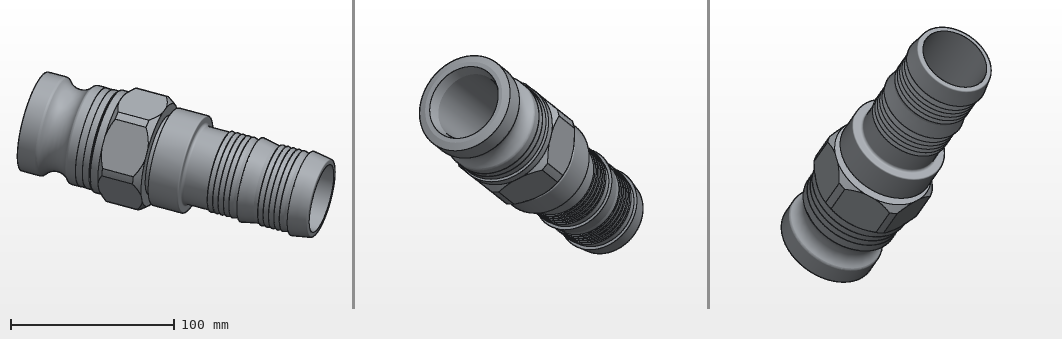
import cadquery as cq
import math

LENGTH = 188.5
BORE_DIA = 43.0
MOUTH_DIA = 47.5
MOUTH_DEPTH = 7.4

ADAPTER_DIA = 63.0
FACE_DIA = 53.5
FACE_BEVEL = 1.1
GROOVE_X = 23.4
GROOVE_BOTTOM_DIA = 52.4
GROOVE_RADIUS = 11.3
GROOVE_EDGE_FILLET = 1.9
BAND_START = 39.2
BAND_END = 43.7
BAND_DIA = 62.5
ADAPTER_END = 48.0

RELIEF_DIA = 59.0
COLLAR_START = 49.4
COLLAR_DIA = 65.2

NUT_START = 54.3
NUT_END = 82.5
NUT_FLATS = 64.8
NUT_CORNER_DIA = 72.0
NUT_FACE_DIA = 65.2
NUT_FRONT_BEVEL = 3.5
NUT_BACK_BEVEL = 4.5
NUT_ANGLE = 15.4

NECK_DIA = 50.5
RING_START = 86.3
RING_END = 106.3
RING_DIA = 62.0
RING_EDGE_FILLET = 1.0
NECK_ROOT_FILLET = 1.0
BARREL_ROOT_FILLET = 1.9
BARREL_DIA = 49.5

GRIP_STARTS = (123.3, 156.3)
TOOTH_COUNT = 5
FIRST_TO_LAST_TOOTH = 14.1
TOOTH_PITCH = FIRST_TO_LAST_TOOTH / (TOOTH_COUNT - 1)
TOOTH_LENGTH = 3.0
TOOTH_DIA = 51.5
BARB_OFFSET = 19.8
BARB_LENGTH = 10.4
BARB_DIA = 53.7
END_FILLET = 1.0


def cone(start, length, start_dia, end_dia):
    """Solid of revolution about X with straight sides."""
    return (
        cq.Workplane("XY")
        .moveTo(start, 0)
        .lineTo(start, start_dia / 2)
        .lineTo(start + length, end_dia / 2)
        .lineTo(start + length, 0)
        .close()
        .revolve(360, (0, 0, 0), (1, 0, 0))
    )


def cylinder(start, end, dia):
    """Round bar along X."""
    return cone(start, end - start, dia, dia)


def ring_edges(x, dia):
    """Selector for the circular edges at x, up to the given diameter."""
    r = dia / 2
    tol = 0.04
    low = (x - tol, -r - tol, -r - tol)
    high = (x + tol, r + tol, r + tol)
    return cq.selectors.BoxSelector(low, high, boundingbox=True)


def make_adapter():
    """Beveled mouth, round cam groove with softened edges, shallow recessed band and relief."""
    adapter_radius = ADAPTER_DIA / 2
    groove_centre = GROOVE_BOTTOM_DIA / 2 + GROOVE_RADIUS
    half_width = math.sqrt(GROOVE_RADIUS**2 - (groove_centre - adapter_radius) ** 2)
    body = (
        cq.Workplane("XY")
        .moveTo(0, 0)
        .lineTo(0, FACE_DIA / 2)
        .lineTo(FACE_BEVEL, adapter_radius)
        .lineTo(GROOVE_X - half_width, adapter_radius)
        .threePointArc((GROOVE_X, GROOVE_BOTTOM_DIA / 2), (GROOVE_X + half_width, adapter_radius))
        .lineTo(BAND_START, adapter_radius)
        .lineTo(BAND_START, BAND_DIA / 2)
        .lineTo(BAND_END, BAND_DIA / 2)
        .lineTo(BAND_END, adapter_radius)
        .lineTo(ADAPTER_END, adapter_radius)
        .lineTo(ADAPTER_END, 0)
        .close()
        .revolve(360, (0, 0, 0), (1, 0, 0))
    )
    for x in (GROOVE_X - half_width, GROOVE_X + half_width):
        body = body.edges(ring_edges(x, ADAPTER_DIA)).fillet(GROOVE_EDGE_FILLET)
    return body.union(cylinder(ADAPTER_END, COLLAR_START, RELIEF_DIA))


def make_nut():
    """Hexagon trimmed by a bar with beveled ends, plus the front collar."""
    hexagon = (
        cq.Workplane("YZ", origin=(NUT_START, 0, 0))
        .polygon(6, NUT_FLATS / math.cos(math.pi / 6))
        .extrude(NUT_END - NUT_START)
        .rotate((0, 0, 0), (1, 0, 0), -NUT_ANGLE)
    )
    front = NUT_START + NUT_FRONT_BEVEL
    back = NUT_END - NUT_BACK_BEVEL
    envelope = (
        cone(NUT_START, NUT_FRONT_BEVEL, NUT_FACE_DIA, NUT_CORNER_DIA)
        .union(cylinder(front, back, NUT_CORNER_DIA))
        .union(cone(back, NUT_BACK_BEVEL, NUT_CORNER_DIA, NUT_FACE_DIA))
    )
    return hexagon.intersect(envelope).union(cylinder(COLLAR_START, NUT_START, COLLAR_DIA))


def make_tail():
    """Neck, filleted stop ring and barrel."""
    tail = (
        cylinder(NUT_END, RING_START, NECK_DIA)
        .union(cylinder(RING_START, RING_END, RING_DIA))
        .union(cylinder(RING_END, GRIP_STARTS[-1] + BARB_OFFSET, BARREL_DIA))
    )
    for x in (RING_START, RING_END):
        tail = tail.edges(ring_edges(x, RING_DIA) - ring_edges(x, NECK_DIA)).fillet(RING_EDGE_FILLET)
    tail = tail.edges(ring_edges(RING_START, NECK_DIA)).fillet(NECK_ROOT_FILLET)
    return tail.edges(ring_edges(RING_END, BARREL_DIA)).fillet(BARREL_ROOT_FILLET)


def make_grips():
    """Two sets of teeth and barbs; the last barb runs out at the hose end."""
    grips = cq.Workplane("XY")
    for start in GRIP_STARTS:
        for i in range(TOOTH_COUNT):
            grips = grips.union(cone(start + i * TOOTH_PITCH, TOOTH_LENGTH, TOOTH_DIA, BARREL_DIA))
    first_barb = GRIP_STARTS[0] + BARB_OFFSET
    grips = grips.union(cone(first_barb, BARB_LENGTH, BARB_DIA, BARREL_DIA))
    end_barb_start = GRIP_STARTS[1] + BARB_OFFSET
    end_barb = cone(end_barb_start, LENGTH - end_barb_start, BARB_DIA, BARREL_DIA)
    end_barb = end_barb.faces(">X").edges().fillet(END_FILLET)
    return grips.union(end_barb)


def make_bore():
    """Through bore with a tapered mouth."""
    return cylinder(0, LENGTH, BORE_DIA).union(cone(0, MOUTH_DEPTH, MOUTH_DIA, BORE_DIA))


result = make_adapter().union(make_nut()).union(make_tail()).union(make_grips()).cut(make_bore())